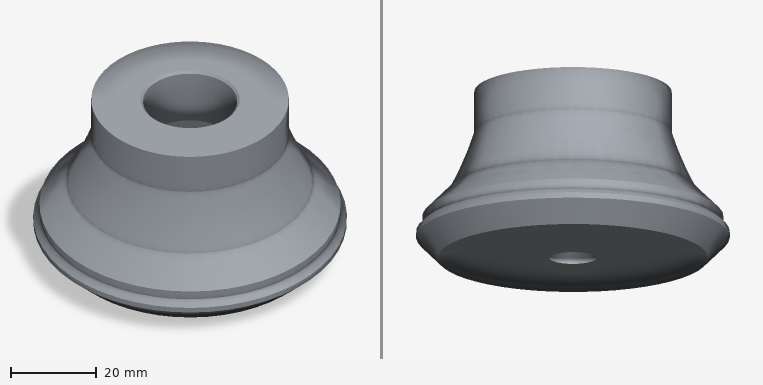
import cadquery as cq

total_height = 40.0
rim_radius = 36.6
hole_radius = 5.5

base_bevel = 5.05
rim_height = 1.3
top_bevel = 1.45
rim_top = base_bevel + rim_height
joint_height = rim_top + top_bevel
joint_radius = rim_radius - top_bevel

skirt_height = 2.2
shoulder_height = 6.35
neck_radius = 23.0
neck_height = 10.0
flare_hollow = 0.4
skirt_top = joint_height + skirt_height
shoulder_top = skirt_top + shoulder_height
shoulder_radius = joint_radius - shoulder_height
neck_base = total_height - neck_height

bore_radius = 11.0
bore_depth = 14.0
bore_chamfer = 0.6
bore_floor = total_height - bore_depth


def revolve_about_z(profile):
    """Revolve a closed radius-height profile a full turn about Z."""
    return profile.revolve(360, (0, 0, 0), (0, 1, 0))


def make_base():
    """Lower disc with a beveled rim and a central hole."""
    profile = (
        cq.Workplane("XZ")
        .moveTo(hole_radius, 0)
        .lineTo(rim_radius - base_bevel, 0)
        .lineTo(rim_radius, base_bevel)
        .lineTo(rim_radius, rim_top)
        .lineTo(joint_radius, joint_height)
        .lineTo(hole_radius, joint_height)
        .close()
    )
    return revolve_about_z(profile)


def make_hub():
    """Flared upper body with a chamfered bore above the central hole."""
    flare_middle = (
        (shoulder_radius + neck_radius) / 2 - flare_hollow,
        (shoulder_top + neck_base) / 2,
    )
    profile = (
        cq.Workplane("XZ")
        .moveTo(hole_radius, joint_height)
        .lineTo(joint_radius, joint_height)
        .lineTo(joint_radius, skirt_top)
        .lineTo(shoulder_radius, shoulder_top)
        .threePointArc(flare_middle, (neck_radius, neck_base))
        .lineTo(neck_radius, total_height)
        .lineTo(bore_radius + bore_chamfer, total_height)
        .lineTo(bore_radius, total_height - bore_chamfer)
        .lineTo(bore_radius, bore_floor)
        .lineTo(hole_radius, bore_floor)
        .close()
    )
    return revolve_about_z(profile)


base = make_base()
hub = make_hub()

result = cq.Compound.makeCompound([base.val(), hub.val()])